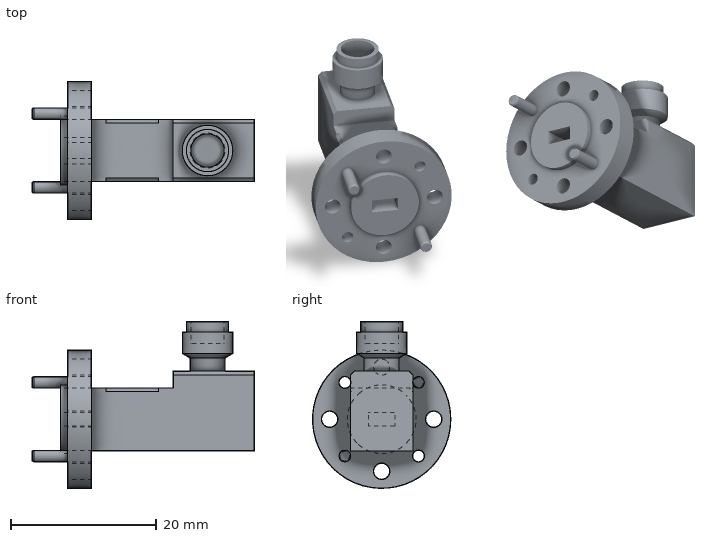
import cadquery as cq
import math


FLANGE_DIAMETER = 19.05
FLANGE_THICKNESS = 3.28
BOSS_DIAMETER = 9.45
BOSS_HEIGHT = 0.98
WINDOW_WIDTH = 3.65
WINDOW_HEIGHT = 1.87
HOLE_CIRCLE_RADIUS = 7.15
SCREW_HOLE_DIAMETER = 2.2
PIN_DIAMETER = 1.6
SCREW_HOLE_START_ANGLE = 0
PIN_HOLE_START_ANGLE = 45
HOLES_PER_SET = 4

PIN_ANGLES = (PIN_HOLE_START_ANGLE, PIN_HOLE_START_ANGLE + 180)
TOTAL_LENGTH = 30.6
PIN_PROTRUSION = 4.9
PIN_TIP_LENGTH = 0.25
PIN_TIP_INSET = 0.12

HOUSING_END = TOTAL_LENGTH - PIN_PROTRUSION
HOUSING_WIDTH = 8.57
HOUSING_BOTTOM = -4.35
LOW_TOP = 4.32
HIGH_TOP = 6.6
STEP_X = 14.5
EDGE_CHAMFER = 0.52
LOW_CHAMFER_START = 5.25
LOW_CHAMFER_END = 12.5

CONNECTOR_X = 19.25
NECK_DIAMETER = 4.8
SLEEVE_DIAMETER = 6.95
RIM_DIAMETER = 5.82
BORE_DIAMETER = 4.6
CONE_BOTTOM = 8.42
CONE_TOP = 9.05
RIM_BOTTOM = 12.0
TOTAL_HEIGHT = 22.95
CONNECTOR_TOP = TOTAL_HEIGHT - FLANGE_DIAMETER / 2
BORE_DEPTH = 3.0


def rod_along_x(diameter, start, end, y=0, z=0):
    """Cylinder parallel to X between two X positions."""
    return cq.Workplane("YZ", origin=(start, y, z)).circle(diameter / 2).extrude(end - start)


def hole_position(angle):
    """Y and Z of a hole at an angle in degrees, measured from +Y towards +Z."""
    turn = math.radians(angle)
    return HOLE_CIRCLE_RADIUS * math.cos(turn), HOLE_CIRCLE_RADIUS * math.sin(turn)


def make_flange():
    """Round flange with a front boss, a waveguide window and two sets of holes."""
    disc = rod_along_x(FLANGE_DIAMETER, 0, FLANGE_THICKNESS)
    flange = disc.union(rod_along_x(BOSS_DIAMETER, -BOSS_HEIGHT, 0))
    window = (
        cq.Workplane("YZ", origin=(-BOSS_HEIGHT, 0, 0))
        .rect(WINDOW_WIDTH, WINDOW_HEIGHT)
        .extrude(BOSS_HEIGHT + FLANGE_THICKNESS)
    )
    flange = flange.cut(window)
    hole_sets = (
        (SCREW_HOLE_START_ANGLE, SCREW_HOLE_DIAMETER),
        (PIN_HOLE_START_ANGLE, PIN_DIAMETER),
    )
    for first_angle, diameter in hole_sets:
        for index in range(HOLES_PER_SET):
            y, z = hole_position(first_angle + index * 360 / HOLES_PER_SET)
            flange = flange.cut(rod_along_x(diameter, 0, FLANGE_THICKNESS, y, z))
    return flange


def make_pin(angle):
    """Pin with a chamfered tip, filling its flange hole to the back face."""
    y, z = hole_position(angle)
    pin = rod_along_x(PIN_DIAMETER, -PIN_PROTRUSION, FLANGE_THICKNESS, y, z)
    return pin.faces("<X").chamfer(PIN_TIP_LENGTH, PIN_TIP_INSET)


def top_edge_wedge(start, end, top, side):
    """Triangular bar that bevels a top edge; side is +1 for +Y and -1 for -Y."""
    edge_y = side * HOUSING_WIDTH / 2
    return (
        cq.Workplane("YZ", origin=(start, 0, 0))
        .moveTo(edge_y, top)
        .lineTo(edge_y - side * EDGE_CHAMFER, top)
        .lineTo(edge_y, top - EDGE_CHAMFER)
        .close()
        .extrude(end - start)
    )


def make_housing():
    """Stepped block with bevelled top edges."""
    housing = (
        cq.Workplane("XZ")
        .moveTo(FLANGE_THICKNESS, HOUSING_BOTTOM)
        .lineTo(HOUSING_END, HOUSING_BOTTOM)
        .lineTo(HOUSING_END, HIGH_TOP)
        .lineTo(STEP_X, HIGH_TOP)
        .lineTo(STEP_X, LOW_TOP)
        .lineTo(FLANGE_THICKNESS, LOW_TOP)
        .close()
        .extrude(HOUSING_WIDTH / 2, both=True)
    )
    for side in (1, -1):
        housing = housing.cut(top_edge_wedge(LOW_CHAMFER_START, LOW_CHAMFER_END, LOW_TOP, side))
        housing = housing.cut(top_edge_wedge(STEP_X, HOUSING_END, HIGH_TOP, side))
    return housing


def make_connector_neck():
    """Plain cylinder standing on the housing."""
    return (
        cq.Workplane("XY", origin=(CONNECTOR_X, 0, HIGH_TOP))
        .circle(NECK_DIAMETER / 2)
        .extrude(CONE_BOTTOM - HIGH_TOP)
    )


def make_connector_sleeve():
    """Turned sleeve on the neck: conical base, stepped rim and a blind bore from the top."""
    bore_floor = CONNECTOR_TOP - BORE_DEPTH
    return (
        cq.Workplane("XZ", origin=(CONNECTOR_X, 0, 0))
        .moveTo(0, CONE_BOTTOM)
        .lineTo(NECK_DIAMETER / 2, CONE_BOTTOM)
        .lineTo(SLEEVE_DIAMETER / 2, CONE_TOP)
        .lineTo(SLEEVE_DIAMETER / 2, RIM_BOTTOM)
        .lineTo(RIM_DIAMETER / 2, RIM_BOTTOM)
        .lineTo(RIM_DIAMETER / 2, CONNECTOR_TOP)
        .lineTo(BORE_DIAMETER / 2, CONNECTOR_TOP)
        .lineTo(BORE_DIAMETER / 2, bore_floor)
        .lineTo(0, bore_floor)
        .close()
        .revolve(360, (0, 0, 0), (0, 1, 0))
    )


flange = make_flange()
pins = [make_pin(angle) for angle in PIN_ANGLES]
housing = make_housing()
connector_neck = make_connector_neck()
connector_sleeve = make_connector_sleeve()

result = cq.Compound.makeCompound([
    flange.val(),
    *[pin.val() for pin in pins],
    housing.val(),
    connector_neck.val(),
    connector_sleeve.val(),
])